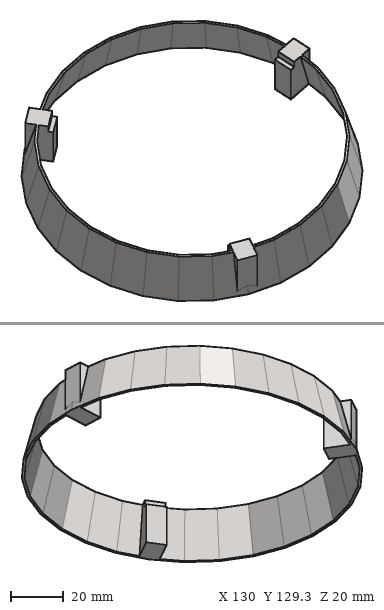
import cadquery as cq

SIDES = 30
HEIGHT = 20.0
BASE_RADIUS = 65.0
TOP_RADIUS = 60.0
WALL = 1.0

TAB_COUNT = 3
TAB_WIDTH = 8.0
TAB_INNER = 53.0
TAB_OUTER = BASE_RADIUS - WALL
STEP_LENGTH = 2.0
STEP_DEPTH = 3.0


def faceted_cone(bottom_radius, top_radius):
    """Solid frustum with flat facets and one corner on +X."""
    return (
        cq.Workplane("XY")
        .polygon(SIDES, 2 * bottom_radius)
        .workplane(offset=HEIGHT)
        .polygon(SIDES, 2 * top_radius)
        .loft(ruled=True, combine=True)
    )


def stepped_tab(angle):
    """Stepped block extruded across its width, turned about Z to the given angle."""
    step_end = TAB_INNER + STEP_LENGTH
    step_top = HEIGHT - STEP_DEPTH
    profile = [
        (TAB_INNER, 0),
        (TAB_OUTER, 0),
        (TAB_OUTER, HEIGHT),
        (step_end, HEIGHT),
        (step_end, step_top),
        (TAB_INNER, step_top),
    ]
    return (
        cq.Workplane("XZ")
        .polyline(profile)
        .close()
        .extrude(TAB_WIDTH / 2, both=True)
        .rotate((0, 0, 0), (0, 0, 1), angle)
    )


outer_cone = faceted_cone(BASE_RADIUS, TOP_RADIUS)
inner_cone = faceted_cone(BASE_RADIUS - WALL, TOP_RADIUS - WALL)
result = outer_cone.cut(inner_cone)

for index in range(TAB_COUNT):
    result = result.union(stepped_tab(index * 360 / TAB_COUNT))